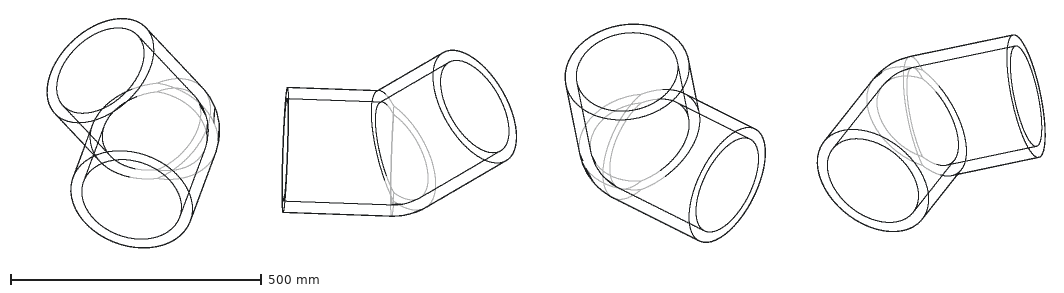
import cadquery as cq
import math

overall_length = 459.0
outer_diameter = 250.0
bore_diameter = 204.5
bend_angle = 45.0

bend_cos = math.cos(math.radians(bend_angle))
bend_sin = math.sin(math.radians(bend_angle))
outer_radius = outer_diameter / 2
leg_length = (overall_length - outer_radius * bend_sin) / (1 + bend_cos)

inlet_direction = cq.Vector(-1, 0, 0)
outlet_direction = cq.Vector(bend_cos, -bend_sin, 0)


def leg(diameter, direction):
    """Solid cylinder from the joint centre to an open end of the elbow."""
    plane = cq.Plane(origin=(0, 0, 0), xDir=(0, 0, 1), normal=direction)
    return cq.Workplane(plane).circle(diameter / 2).extrude(leg_length)


def bent_rod(diameter):
    """Two solid legs joined by a ball of the same diameter."""
    ball = cq.Workplane("XY").sphere(diameter / 2)
    return leg(diameter, inlet_direction).union(leg(diameter, outlet_direction)).union(ball)


result = bent_rod(outer_diameter).cut(bent_rod(bore_diameter))